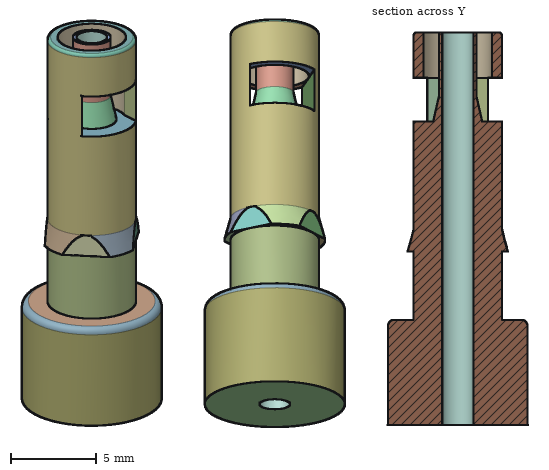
import cadquery as cq
import math

total_height = 23.0
base_top = 6.19

base_diameter = 8.2
base_fillet = 0.4
tube_diameter = 5.2
tube_fillet = 0.18
bore_diameter = 4.0

pin_diameter = 2.2
pin_hole_diameter = 1.8
cone_diameter = 2.9
cone_top = 19.3

window_bottom = 17.78
window_top = 20.33
window_front = -2.0
window_back = 1.89

collar_bottom = 10.17
collar_top = 11.48
collar_diameter = 5.9
flat_count = 4
flat_first_angle = 45.0


def cylinder(diameter, bottom, top):
    return cq.Workplane("XY").workplane(offset=bottom).circle(diameter / 2).extrude(top - bottom)


def cone(bottom_diameter, top_diameter, bottom, top):
    """Frustum on the Z axis."""
    return (
        cq.Workplane("XZ")
        .moveTo(0, bottom)
        .lineTo(bottom_diameter / 2, bottom)
        .lineTo(top_diameter / 2, top)
        .lineTo(0, top)
        .close()
        .revolve(360, (0, 0, 0), (0, 1, 0))
    )


def make_collar():
    """Cone trimmed by upright flats that are tangent to the tube."""
    collar = cone(collar_diameter, tube_diameter, collar_bottom, collar_top)
    flats = (
        cq.Workplane("XY")
        .workplane(offset=collar_bottom)
        .polygon(flat_count, tube_diameter / math.cos(math.pi / flat_count))
        .extrude(collar_top - collar_bottom)
    )
    return collar.intersect(flats.rotate((0, 0, 0), (0, 0, 1), flat_first_angle - 180 / flat_count))


def make_window():
    return cq.Workplane("XY").box(
        tube_diameter,
        window_back - window_front,
        window_top - window_bottom,
    ).translate((0, (window_back + window_front) / 2, (window_top + window_bottom) / 2))


def make_pin():
    straight = cylinder(pin_diameter, cone_top, total_height)
    return straight.union(cone(cone_diameter, pin_diameter, window_bottom, cone_top))


base = cylinder(base_diameter, 0, base_top).faces(">Z").edges().fillet(base_fillet)
tube = cylinder(tube_diameter, base_top, total_height).faces(">Z").edges().fillet(tube_fillet)
tube = tube.cut(cylinder(bore_diameter, window_bottom, total_height)).cut(make_window())

result = base.union(tube).union(make_collar()).union(make_pin())
result = result.cut(cylinder(pin_hole_diameter, 0, total_height))